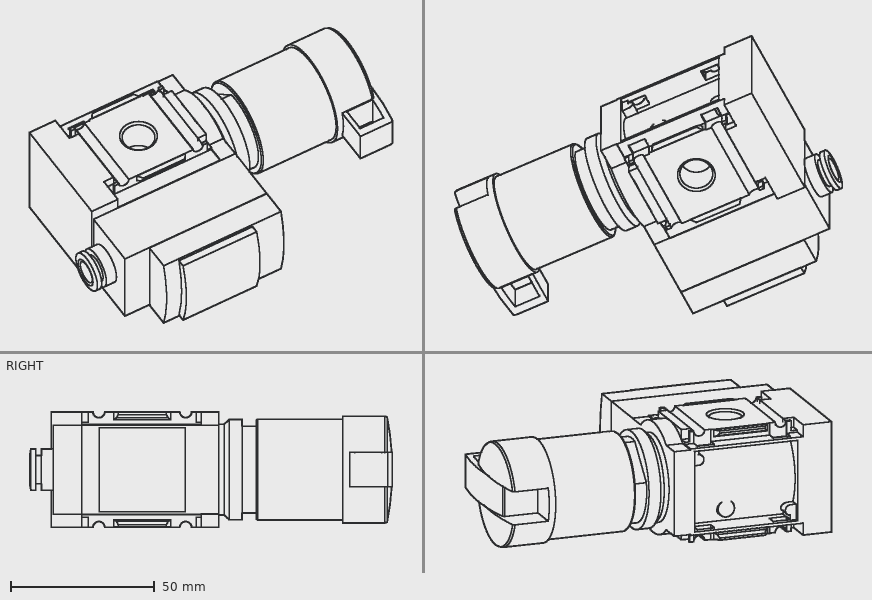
import cadquery as cq
import math


body_half_x = 21.0
body_half_z = 20.1
foot_end_y = -31.7
foot_top_y = -21.1
shoulder_y = 20.55
body_top_y = 26.65
ledge_z = 15.75
shoulder_z = 15.4

pad_half_x = 15.2
pad_half_y = 17.1
pad_neck_half_x = 11.6
corner_floor_z = 16.5
post_width_x = 1.1
post_length_y = 1.7
groove_offset_y = 15.1
groove_radius = 2.0
port_diameter = 11.45
port_mouth_diameter = 13.1
port_depth = 12.0

rib_reach = 2.0
rib_root_z = 17.4
rib_knee_reach = 1.2
rib_knee_z = 18.0
rib_tip_z = 19.1
rib_top_z = 19.9
rib_half_y = 9.9
rib_tip_half_y = 8.4

window_half_y = 19.05
window_half_z = 14.65
core_diameter = 37.2
button_diameter = 6.1
button_y = 6.1
button_z = -8.5
button_face_x = -17.6
corner_boss_y = 17.0
corner_boss_z = 10.9
corner_boss_radius = 1.9
corner_boss_face_x = -19.5

clip_inner_x = -14.8
clip_outer_x = -18.7
clip_center_y = 14.05
clip_length_y = 6.3

outlet_end_x = 42.1
outlet_half_z = 15.44
outlet_bottom_y = -31.0
fitting_x = 29.2
fitting_radius = 14.5 / 2
fitting_groove_radius = 10.0 / 2
fitting_groove_start_y = -35.1
fitting_groove_end_y = -37.0
fitting_end_y = -39.2
fitting_cone_y = -38.75
fitting_bore_diameter = 8.0
fitting_mouth_diameter = 10.0
fitting_mouth_depth = 0.3
fitting_bore_depth = 14.0

gauge_gap = 0.15
gauge_start_x = outlet_end_x + gauge_gap
gauge_bottom_y = -21.1
gauge_edge_x = 51.75
gauge_crown_x = 53.75
lens_edge_x = 54.7
lens_crown_x = 57.0
lens_half_z = 14.64
lens_bottom_y = -15.0
lens_top_y = 14.95

neck_radius = 31.6 / 2
collar_radius = 35.0 / 2
stem_radius = 15.15
knob_radius = 35.2 / 2
cap_radius = 37.2 / 2
collar_cone_y = 28.45
collar_bottom_y = 30.3
collar_top_y = 34.7
knob_bottom_y = 39.6
knob_chamfer = 0.5
cap_bottom_y = 69.7
cap_edge_y = 84.4
cap_rim_y = 85.2
cap_rim_inset = 0.3
cap_crown_y = 87.0
stem_flat_distance = 12.73

slot_floor_y = 72.1
slot_half_z = 6.0
slider_travel = 12.4
slider_start_x = -7.2
eye_gap = 0.3
slider_top_wall = 2.5
slider_end_wall = 3.1
slider_bottom_wall = 1.8


def span_box(x_range, y_range, z_range):
    """Box between two limits on each axis."""
    (x0, x1), (y0, y1), (z0, z1) = x_range, y_range, z_range
    return cq.Workplane("XY").box(x1 - x0, y1 - y0, z1 - z0, centered=False).translate((x0, y0, z0))


def y_cylinder(radius, y0, y1, x=0.0):
    """Cylinder along Y between two heights."""
    return cq.Workplane("XZ", origin=(x, y0, 0)).circle(radius).extrude(y0 - y1)


def y_cone(start_radius, end_radius, y0, y1, x):
    """Truncated cone along Y between two heights."""
    direction = cq.Vector(0, math.copysign(1, y1 - y0), 0)
    cone = cq.Solid.makeCone(start_radius, end_radius, abs(y1 - y0), cq.Vector(x, y0, 0), direction)
    return cq.Workplane(cone)


def x_cylinder(radius, x0, x1, y, z):
    """Cylinder along X between two places."""
    return cq.Workplane("YZ", origin=(x0, y, z)).circle(radius).extrude(x1 - x0)


def both_z(shape):
    """The shape together with its mirror image in the XY plane."""
    return shape.union(shape.mirror("XY"))


def make_block():
    """Foot, stepped middle section and shoulder with its round crown."""
    full_x = (-body_half_x, body_half_x)
    foot = span_box(full_x, (foot_end_y, foot_top_y), (-body_half_z, body_half_z))
    middle = span_box(full_x, (foot_top_y, shoulder_y), (-ledge_z, ledge_z))
    shoulder = span_box(full_x, (shoulder_y, body_top_y), (-shoulder_z, shoulder_z))
    crown = y_cylinder(body_half_z, shoulder_y, body_top_y)
    return foot.union(middle).union(shoulder).union(crown)


def make_rib():
    """Undercut wedge on the +X side of the upper pad, with slanted ends."""
    wedge = (
        cq.Workplane("XZ", origin=(0, rib_half_y, 0))
        .moveTo(pad_half_x, rib_root_z)
        .lineTo(pad_half_x + rib_knee_reach, rib_knee_z)
        .lineTo(pad_half_x + rib_reach, rib_tip_z)
        .lineTo(pad_half_x + rib_reach, rib_top_z)
        .lineTo(pad_half_x, rib_top_z)
        .close()
        .extrude(2 * rib_half_y)
    )
    plan = (
        cq.Workplane("XY")
        .moveTo(pad_half_x, -rib_half_y)
        .lineTo(pad_half_x + rib_reach, -rib_tip_half_y)
        .lineTo(pad_half_x + rib_reach, rib_tip_half_y)
        .lineTo(pad_half_x, rib_half_y)
        .close()
        .extrude(body_half_z)
    )
    return wedge.intersect(plan)


def make_pad():
    """Upper pad with necks, corner posts, ribs and cross grooves."""
    heights = (0, body_half_z)
    full_y = (foot_top_y, shoulder_y)
    pad = span_box((-pad_half_x, pad_half_x), (-pad_half_y, pad_half_y), heights)
    pad = pad.union(span_box((-pad_neck_half_x, pad_neck_half_x), full_y, heights))
    pad = pad.union(span_box((-pad_half_x, pad_half_x), full_y, (0, corner_floor_z)))
    post = span_box(
        (pad_half_x - post_width_x, pad_half_x), (pad_half_y, pad_half_y + post_length_y), heights
    )
    side = post.union(post.mirror("XZ")).union(make_rib())
    pad = pad.union(side).union(side.mirror("YZ"))
    for y in (-groove_offset_y, groove_offset_y):
        pad = pad.cut(x_cylinder(groove_radius, -pad_half_x, pad_half_x, y, body_half_z))
    return pad


def make_port():
    """Threaded-port bore in the upper pad with a chamfered mouth."""
    bore_radius = port_diameter / 2
    mouth_radius = port_mouth_diameter / 2
    return (
        cq.Workplane("XZ")
        .moveTo(0, body_half_z - port_depth)
        .lineTo(bore_radius, body_half_z - port_depth)
        .lineTo(bore_radius, body_half_z - (mouth_radius - bore_radius))
        .lineTo(mouth_radius, body_half_z)
        .lineTo(0, body_half_z)
        .close()
        .revolve(360, (0, 0), (0, 1))
    )


def make_corner_boss():
    """Rounded screw boss in the +Y, +Z corner of the window."""
    depth = (corner_boss_face_x, 0)
    lower_z = corner_boss_z - corner_boss_radius
    boss = span_box(depth, (corner_boss_y, window_half_y), (lower_z, window_half_z))
    return boss.union(x_cylinder(corner_boss_radius, *depth, corner_boss_y, corner_boss_z))


def make_window():
    """Cavity in the -X side around the round core, button and two bosses."""
    window = span_box(
        (-body_half_x, 0), (-window_half_y, window_half_y), (-window_half_z, window_half_z)
    )
    boss = make_corner_boss()
    window = window.cut(y_cylinder(core_diameter / 2, -window_half_y, window_half_y))
    window = window.cut(x_cylinder(button_diameter / 2, button_face_x, 0, button_y, button_z))
    return window.cut(boss).cut(boss.rotate((0, 0, 0), (1, 0, 0), 180))


def make_clip_holes():
    """Two slots beside the upper pad that open into the window."""
    half = clip_length_y / 2
    slot = span_box(
        (clip_outer_x, clip_inner_x),
        (clip_center_y - half, clip_center_y + half),
        (window_half_z, body_half_z),
    )
    return slot.union(slot.mirror("XZ"))


def make_outlet():
    """Outlet block with its push-in fitting."""
    bore_radius = fitting_bore_diameter / 2
    mouth_radius = fitting_mouth_diameter / 2
    block = span_box(
        (body_half_x, outlet_end_x), (outlet_bottom_y, body_top_y), (-outlet_half_z, outlet_half_z)
    )
    tube = y_cylinder(fitting_radius, outlet_bottom_y, fitting_groove_start_y, fitting_x)
    groove = y_cylinder(
        fitting_groove_radius, fitting_groove_start_y, fitting_groove_end_y, fitting_x
    )
    flange = y_cylinder(fitting_radius, fitting_groove_end_y, fitting_cone_y, fitting_x)
    nose = y_cone(fitting_radius, mouth_radius, fitting_cone_y, fitting_end_y, fitting_x)
    outlet = block.union(tube).union(groove).union(flange).union(nose)
    bore = y_cylinder(
        bore_radius, fitting_end_y, fitting_end_y + fitting_bore_depth, fitting_x
    )
    funnel = y_cone(
        mouth_radius, bore_radius, fitting_end_y, fitting_end_y + fitting_mouth_depth, fitting_x
    )
    return outlet.cut(bore).cut(funnel)


def crowned_block(y0, y1, half_z, edge_x, crown_x):
    """Block with a bulged +X face that runs along Y."""
    return (
        cq.Workplane("XZ", origin=(0, y1, 0))
        .moveTo(gauge_start_x, -half_z)
        .lineTo(edge_x, -half_z)
        .threePointArc((crown_x, 0), (edge_x, half_z))
        .lineTo(gauge_start_x, half_z)
        .close()
        .extrude(y1 - y0)
    )


def make_gauge():
    """Pressure gauge with a raised curved lens."""
    case = crowned_block(gauge_bottom_y, body_top_y, outlet_half_z, gauge_edge_x, gauge_crown_x)
    lens = crowned_block(lens_bottom_y, lens_top_y, lens_half_z, lens_edge_x, lens_crown_x)
    return case.union(lens)


cap_rim_radius = cap_radius - cap_rim_inset
crown_rise = cap_crown_y - cap_rim_y
crown_radius = (cap_rim_radius ** 2 + crown_rise ** 2) / (2 * crown_rise)


def crown_y(offset, drop=0.0):
    """Height of the crown arc, moved inwards by drop, at an offset from its middle."""
    center_y = cap_crown_y - crown_radius
    return center_y + math.sqrt((crown_radius - drop) ** 2 - offset ** 2)


def make_knob():
    """Neck, collar, stem, grip and slotted cap, turned about Y."""
    half_rim = cap_rim_radius / 2
    turned = (
        cq.Workplane("XY")
        .moveTo(0, shoulder_y)
        .lineTo(neck_radius, shoulder_y)
        .lineTo(neck_radius, collar_cone_y)
        .lineTo(collar_radius, collar_bottom_y)
        .lineTo(collar_radius, collar_top_y)
        .lineTo(stem_radius, collar_top_y)
        .lineTo(stem_radius, knob_bottom_y)
        .lineTo(knob_radius - knob_chamfer, knob_bottom_y)
        .lineTo(knob_radius, knob_bottom_y + knob_chamfer)
        .lineTo(knob_radius, cap_bottom_y)
        .lineTo(cap_radius, cap_bottom_y)
        .lineTo(cap_radius, cap_edge_y)
        .lineTo(cap_rim_radius, cap_rim_y)
        .threePointArc((half_rim, crown_y(half_rim)), (0, cap_crown_y))
        .close()
        .revolve(360, (0, 0), (0, 1))
    )
    slot = span_box(
        (-cap_radius, cap_radius), (slot_floor_y, cap_crown_y), (-slot_half_z, slot_half_z)
    )
    flat = span_box(
        (stem_flat_distance, cap_radius), (collar_top_y, knob_bottom_y), (-cap_radius, cap_radius)
    ).rotate((0, 0, 0), (0, 1, 0), -135)
    return turned.cut(slot).cut(flat)


def make_slider():
    """Pulled-out lock slider with an eye for a padlock."""
    half_length = math.sqrt(cap_radius ** 2 - slot_half_z ** 2)
    end_x = slider_travel + half_length
    rim_start_x = slider_start_x + cap_rim_inset
    rim_end_x = end_x - cap_rim_inset
    outline = (
        cq.Workplane("XY", origin=(0, 0, -slot_half_z))
        .moveTo(slider_start_x, slot_floor_y)
        .lineTo(end_x, slot_floor_y)
        .lineTo(end_x, cap_edge_y)
        .lineTo(rim_end_x, crown_y(rim_end_x - slider_travel))
        .threePointArc(
            (slider_travel, cap_crown_y), (rim_start_x, crown_y(rim_start_x - slider_travel))
        )
        .lineTo(slider_start_x, cap_edge_y)
        .close()
        .extrude(2 * slot_half_z)
    )
    eye_start = half_length + eye_gap
    eye_end = end_x - slider_end_wall
    eye_middle = (eye_start + eye_end) / 2

    def eye_top(x):
        return (x, crown_y(x - slider_travel, slider_top_wall))

    eye_bottom_y = slot_floor_y + slider_bottom_wall
    eye = (
        cq.Workplane("XY", origin=(0, 0, -slot_half_z))
        .moveTo(eye_start, eye_bottom_y)
        .lineTo(eye_end, eye_bottom_y)
        .lineTo(*eye_top(eye_end))
        .threePointArc(eye_top(eye_middle), eye_top(eye_start))
        .close()
        .extrude(2 * slot_half_z)
    )
    return outline.cut(eye)


def make_regulator():
    """Main block, outlet, knob and lock slider as one solid."""
    body = make_block().union(both_z(make_pad()))
    body = body.cut(both_z(make_port())).cut(make_window()).cut(both_z(make_clip_holes()))
    return body.union(make_outlet()).union(make_knob()).union(make_slider())


regulator = make_regulator()
gauge = make_gauge()

result = cq.Compound.makeCompound([regulator.val(), gauge.val()])